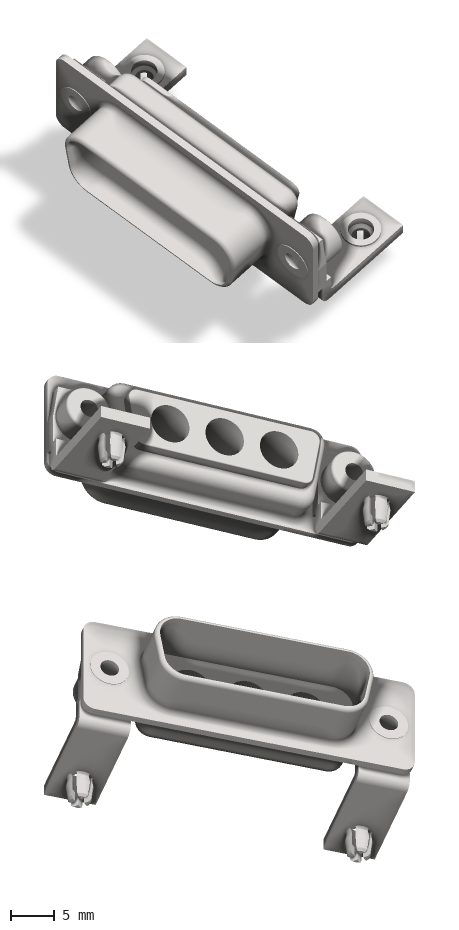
import cadquery as cq
import math


FLANGE_WIDTH = 39.52
FLANGE_HEIGHT = 12.85
FLANGE_THICKNESS = 0.85
FLANGE_CORNER_RADIUS = 1.42

D_SIDE_ANGLE = 10.0
SHELL_D = (12.85, 4.62, 3.12)
SHROUD_D = (13.05, 5.37, 1.9)
INSERT_D = (11.58, 3.55, 1.1)

SHELL_DEPTH = 6.15
SHELL_FLOOR = 0.4
SHELL_WALL = 0.55
SHELL_LIP_RADIUS = 0.5
SHELL_FOOT_RADIUS = 0.5

SHROUD_BACK = 4.9
SHROUD_FOOT_RADIUS = 0.8
SHROUD_EDGE_RADIUS = 1.2
INSERT_BACK = 6.32
INSERT_EDGE_RADIUS = 0.1

CONTACT_COUNT = 3
CONTACT_PITCH = 6.85
CONTACT_DIAMETER = 4.82

MOUNT_X = 16.65
MOUNT_HOLE_DIAMETER = 2.2
RIM_DIAMETER = 4.62
RIM_HEIGHT = 0.08
BOSS_DIAMETER = 5.55
BOSS_BACK = 5.55
BOSS_EDGE_RADIUS = 0.35

BRACKET_WIDTH = 6.13
BRACKET_BACK = 15.37
BRACKET_TOP = 4.05
BRACKET_BOTTOM = -7.3
BRACKET_THICKNESS = 1.45
BRACKET_STEP = 0.8
BACK_STEP_Z = -3.48
FRONT_STEP_Z = -4.2
TAPERED_TOP_WIDTH = 4.85
BEND_OUTER_RADIUS = 1.1
BEND_INNER_RADIUS = 0.35
STEP_RADIUS = 0.25

CLIP_Y = 11.58
DISC_HEIGHT = 0.28
CLIP_COLLAR_RADIUS = 1.55
CLIP_NECK_RADIUS = 1.42
CLIP_NECK_Z = -7.55
CLIP_BULGE_RADIUS = 1.6
CLIP_BULGE_Z = -8.55
CLIP_TIP_RADIUS = 1.35
CLIP_END_RADIUS = 1.05
CLIP_END_CHAMFER = 0.28
CLIP_BOTTOM = -10.65
CLIP_MOUTH_RADIUS = 1.5
CLIP_BORE_RADIUS = 1.05
CLIP_BORE_FLOOR = -9.33
CLIP_SLOT_WIDTH = 0.75
CLIP_CONE_TOP = -6.55
CLIP_CONE_BOTTOM = -6.85

BRACKET_FRONT = FLANGE_THICKNESS
BRACKET_PLATE_BACK = BRACKET_FRONT + BRACKET_THICKNESS
FOOT_TOP = BRACKET_BOTTOM + BRACKET_THICKNESS
DISC_TOP = FOOT_TOP + DISC_HEIGHT


def plane_at(y):
    """XZ work plane at the given Y; a negative extrusion goes toward +Y."""
    return cq.Workplane("XZ", origin=(0, y, 0))


def d_body(size, y_start, y_end, inset=0.0):
    """D-shaped prism, wide side up, with its outline moved inward by inset."""
    half_width, half_height, corner_radius = size
    angle = math.radians(D_SIDE_ANGLE)
    half_width -= inset / math.cos(angle)
    half_height -= inset
    lean = half_height * math.tan(angle)
    corners = [
        (-half_width - lean, half_height),
        (half_width + lean, half_height),
        (half_width - lean, -half_height),
        (-half_width + lean, -half_height),
    ]
    prism = plane_at(y_start).polyline(corners).close().extrude(y_start - y_end)
    return prism.edges("|Y").fillet(corner_radius - inset)


def cylinder_y(x, diameter, y_start, y_end):
    return plane_at(y_start).center(x, 0).circle(diameter / 2).extrude(y_start - y_end)


def foot_edges(y):
    """Selects the D-shaped edge loop where a body meets the flange face at y."""
    reach_x = FLANGE_WIDTH / 2 - FLANGE_CORNER_RADIUS
    reach_z = FLANGE_HEIGHT / 2 - FLANGE_CORNER_RADIUS / 2
    slack = 0.05
    return cq.selectors.BoxSelector((-reach_x, y - slack, -reach_z), (reach_x, y + slack, reach_z))


def make_shell_and_flange():
    body = plane_at(0).rect(FLANGE_WIDTH, FLANGE_HEIGHT).extrude(-FLANGE_THICKNESS)
    body = body.edges("|Y").fillet(FLANGE_CORNER_RADIUS)

    shell = d_body(SHELL_D, -SHELL_DEPTH, 0).faces("<Y").edges().fillet(SHELL_LIP_RADIUS)
    body = body.union(shell).edges(foot_edges(0)).fillet(SHELL_FOOT_RADIUS)

    shroud = d_body(SHROUD_D, FLANGE_THICKNESS, SHROUD_BACK)
    shroud = shroud.faces(">Y").edges().fillet(SHROUD_EDGE_RADIUS)
    body = body.union(shroud).edges(foot_edges(FLANGE_THICKNESS)).fillet(SHROUD_FOOT_RADIUS)

    insert = d_body(INSERT_D, FLANGE_THICKNESS, INSERT_BACK)
    body = body.union(insert.faces(">Y").edges().fillet(INSERT_EDGE_RADIUS))
    return body.cut(d_body(SHELL_D, -SHELL_DEPTH, SHELL_FLOOR, SHELL_WALL))


def make_bracket():
    """Stepped angle bracket centred on X = 0, its upper plate tapering above Z = 0."""
    lower_front = BRACKET_FRONT + BRACKET_STEP
    lower_back = BRACKET_PLATE_BACK + BRACKET_STEP
    side_outline = [
        (BRACKET_FRONT, BRACKET_TOP),
        (BRACKET_PLATE_BACK, BRACKET_TOP),
        (BRACKET_PLATE_BACK, BACK_STEP_Z),
        (lower_back, BACK_STEP_Z),
        (lower_back, FOOT_TOP),
        (BRACKET_BACK, FOOT_TOP),
        (BRACKET_BACK, BRACKET_BOTTOM),
        (lower_front, BRACKET_BOTTOM),
        (lower_front, FRONT_STEP_Z),
        (BRACKET_FRONT, FRONT_STEP_Z),
    ]
    bracket = cq.Workplane("YZ").polyline(side_outline).close().extrude(BRACKET_WIDTH / 2, both=True)
    rounded_corners = [
        (lower_front, BRACKET_BOTTOM, BEND_OUTER_RADIUS),
        (lower_back, FOOT_TOP, BEND_INNER_RADIUS),
        (lower_front, FRONT_STEP_Z, STEP_RADIUS),
        (BRACKET_PLATE_BACK, BACK_STEP_Z, STEP_RADIUS),
    ]
    for y, z, radius in rounded_corners:
        corner = cq.selectors.NearestToPointSelector((0, y, z))
        bracket = bracket.edges("|X").edges(corner).fillet(radius)

    half_width = BRACKET_WIDTH / 2
    half_top = TAPERED_TOP_WIDTH / 2
    for side in (-1, 1):
        corner_waste = plane_at(BRACKET_FRONT).polyline([
            (side * half_width, 0),
            (side * half_top, BRACKET_TOP),
            (side * half_width, BRACKET_TOP),
        ]).close().extrude(-BRACKET_THICKNESS)
        bracket = bracket.cut(corner_waste)
    return bracket


def revolve_about_clip_axis(profile):
    """Turns a (radius, Z) profile about the vertical clip axis."""
    outline = cq.Workplane("XZ", origin=(0, CLIP_Y, 0)).polyline(profile).close()
    return outline.revolve(360, (0, 0, 0), (0, 1, 0))


def add_clip(bracket):
    outside = revolve_about_clip_axis([
        (0, DISC_TOP),
        (RIM_DIAMETER / 2, DISC_TOP),
        (RIM_DIAMETER / 2, FOOT_TOP),
        (CLIP_COLLAR_RADIUS, FOOT_TOP),
        (CLIP_COLLAR_RADIUS, BRACKET_BOTTOM),
        (CLIP_NECK_RADIUS, CLIP_NECK_Z),
        (CLIP_BULGE_RADIUS, CLIP_BULGE_Z),
        (CLIP_TIP_RADIUS, CLIP_BOTTOM + CLIP_END_CHAMFER),
        (CLIP_END_RADIUS, CLIP_BOTTOM),
        (0, CLIP_BOTTOM),
    ])
    bore = revolve_about_clip_axis([
        (0, DISC_TOP),
        (CLIP_MOUTH_RADIUS, DISC_TOP),
        (CLIP_MOUTH_RADIUS, CLIP_CONE_TOP),
        (CLIP_BORE_RADIUS, CLIP_CONE_BOTTOM),
        (CLIP_BORE_RADIUS, CLIP_BORE_FLOOR),
        (0, CLIP_BORE_FLOOR),
    ])
    bracket = bracket.union(outside).cut(bore)
    slot_plane = cq.Workplane("XY", origin=(0, CLIP_Y, CLIP_BOTTOM))
    for angle in (45, 135):
        slot = slot_plane.transformed(rotate=(0, 0, angle)).rect(2 * CLIP_BULGE_RADIUS, CLIP_SLOT_WIDTH)
        bracket = bracket.cut(slot.extrude(BRACKET_BOTTOM - CLIP_BOTTOM))
    return bracket


def make_mount():
    """Bracket with its clip, rear boss and front rim, centred on X = 0."""
    mount = add_clip(make_bracket())
    boss = cylinder_y(0, BOSS_DIAMETER, BRACKET_PLATE_BACK, BOSS_BACK)
    mount = mount.union(boss.faces(">Y").edges().fillet(BOSS_EDGE_RADIUS))
    return mount.union(cylinder_y(0, RIM_DIAMETER, -RIM_HEIGHT, BRACKET_PLATE_BACK))


result = make_shell_and_flange()

mount = make_mount()
for mount_x in (-MOUNT_X, MOUNT_X):
    result = result.union(mount.translate((mount_x, 0, 0)))
    result = result.cut(cylinder_y(mount_x, MOUNT_HOLE_DIAMETER, -RIM_HEIGHT, BOSS_BACK))

for index in range(CONTACT_COUNT):
    contact_x = (index - (CONTACT_COUNT - 1) / 2) * CONTACT_PITCH
    result = result.cut(cylinder_y(contact_x, CONTACT_DIAMETER, 0, INSERT_BACK))